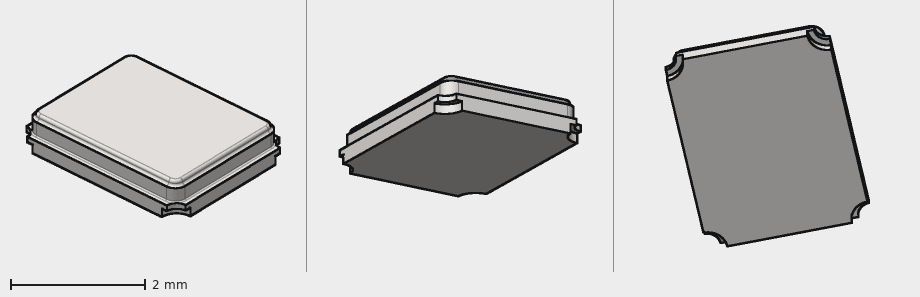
import cadquery as cq
import math

length = 3.2
width = 2.5
base_height = 0.25
lower_notch_height = 0.15
upper_notch_radius = 0.2
lower_notch_radius = 0.3

total_height = 0.6
lid_inset = 0.1
lid_corner_radius = 0.2
shoulder_radius = 0.05
foot_fillet = 0.022

shoulder_width = 2 * shoulder_radius
top_length = length - 2 * (lid_inset + shoulder_width)
top_width = width - 2 * (lid_inset + shoulder_width)
top_corner_radius = lid_corner_radius - shoulder_width


def corner_notches(radius, bottom, height):
    """Round posts, one on each corner of the base."""
    return (
        cq.Workplane("XY", origin=(0, 0, bottom))
        .rect(length, width, forConstruction=True)
        .vertices()
        .circle(radius)
        .extrude(height)
    )


def make_base():
    upper_notch_height = base_height - lower_notch_height
    slab = cq.Workplane("XY").box(length, width, base_height, centered=(True, True, False))
    slab = slab.cut(corner_notches(lower_notch_radius, 0, lower_notch_height))
    return slab.cut(corner_notches(upper_notch_radius, lower_notch_height, upper_notch_height))


def make_lid_core():
    return (
        cq.Workplane("XY", origin=(0, 0, base_height))
        .rect(top_length, top_width)
        .extrude(total_height - base_height)
        .edges("|Z")
        .fillet(top_corner_radius)
    )


def make_lid_rim(core):
    """Sweep the rim section around the top outline of the core."""
    path = core.faces(">Z").wires()
    inner = top_length / 2
    step = inner + shoulder_radius
    wall = inner + shoulder_width
    step_height = total_height - shoulder_radius
    shoulder_height = total_height - 2 * shoulder_radius
    diagonal = math.sqrt(0.5)
    arc_reach = shoulder_radius * diagonal
    foot_reach = foot_fillet * (1 - diagonal)
    section = (
        cq.Workplane("XZ")
        .moveTo(inner, base_height)
        .lineTo(inner, total_height)
        .threePointArc((inner + arc_reach, step_height + arc_reach), (step, step_height))
        .threePointArc((wall - arc_reach, step_height - arc_reach), (wall, shoulder_height))
        .lineTo(wall, base_height + foot_fillet)
        .threePointArc((wall + foot_reach, base_height + foot_reach), (wall + foot_fillet, base_height))
        .close()
    )
    return section.sweep(path, transition="right")


lid_core = make_lid_core()
result = make_base().union(lid_core).union(make_lid_rim(lid_core))